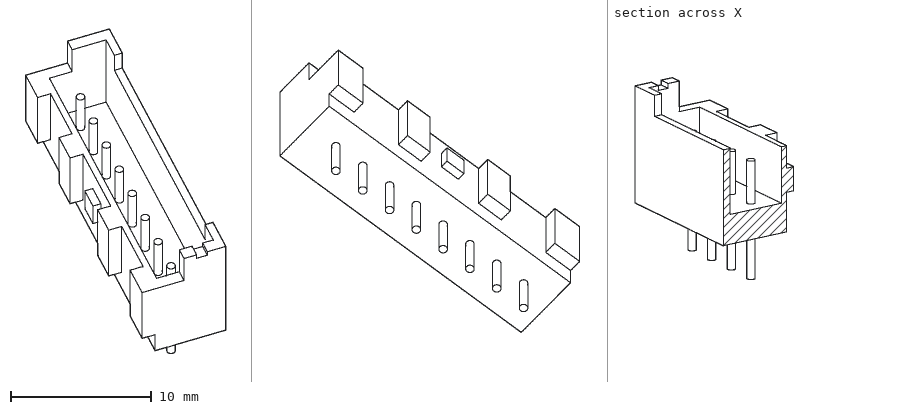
import cadquery as cq

length = 22.5
depth = 6.4
height = 8.8

rib_depth = 1.0
front_wall = 0.47
back_wall = 0.6
end_wall = 0.9
floor_thickness = 2.27

front_rim_drop = 2.3
front_rim_depth = 3.2
back_rim_drop = 1.58
back_post_width = 2.5

notch_width = 0.8
notch_drop = 0.35
notch_from_back = 1.42

rib_bottom = 1.69
corner_rib_width = 2.32
inner_rib_width = 2.12
inner_rib_offset = 3.74
nub_width = 1.58
nub_depth = 0.6
nub_bottom = 2.97
nub_height = 1.85

pin_count = 8
pin_pitch = 2.5
pin_diameter = 0.6
pin_below = 3.4
pin_above = 5.5
pin_from_back = 3.2

front_rim = height - front_rim_drop
front_face = rib_depth


def block(x_start, x_size, y_start, y_size, z_start, z_size):
    """Box placed by its lowest corner."""
    corner = (x_start, y_start, z_start)
    return cq.Workplane("XY", origin=corner).box(x_size, y_size, z_size, centered=False)


def housing():
    """Open-topped shell with stepped rims and the notched end wall."""
    body = block(-length / 2, length, front_face, depth - front_face, 0, height)
    cavity = block(
        -length / 2 + end_wall,
        length - 2 * end_wall,
        front_face + front_wall,
        depth - front_face - front_wall - back_wall,
        floor_thickness,
        height - floor_thickness,
    )
    front_step = block(-length / 2, length, 0, front_rim_depth, front_rim, front_rim_drop)
    back_opening_width = length - 2 * back_post_width
    back_opening = block(
        -back_opening_width / 2,
        back_opening_width,
        depth - back_wall,
        back_wall,
        height - back_rim_drop,
        back_rim_drop,
    )
    notch = block(
        length / 2 - end_wall,
        end_wall,
        depth - notch_from_back - notch_width,
        notch_width,
        height - notch_drop,
        notch_drop,
    )
    return body.cut(cavity).cut(front_step).cut(back_opening).cut(notch)


def nub():
    """Small raised block in the middle of the front face."""
    return block(-nub_width / 2, nub_width, front_face - nub_depth, nub_depth, nub_bottom, nub_height)


def rib(center, width):
    """Vertical rib on the front face, reaching up to the front rim."""
    return block(center - width / 2, width, 0, rib_depth, rib_bottom, front_rim - rib_bottom)


def pins():
    """Row of round pins running through the floor."""
    first_pin = -pin_pitch * (pin_count - 1) / 2
    centers = [(first_pin + i * pin_pitch, depth - pin_from_back) for i in range(pin_count)]
    return (
        cq.Workplane("XY", origin=(0, 0, -pin_below))
        .pushPoints(centers)
        .circle(pin_diameter / 2)
        .extrude(pin_below + pin_above)
    )


corner_rib_offset = (length - corner_rib_width) / 2

result = housing().union(nub())
for side in (-1, 1):
    result = result.union(rib(side * corner_rib_offset, corner_rib_width))
    result = result.union(rib(side * inner_rib_offset, inner_rib_width))
result = result.union(pins())